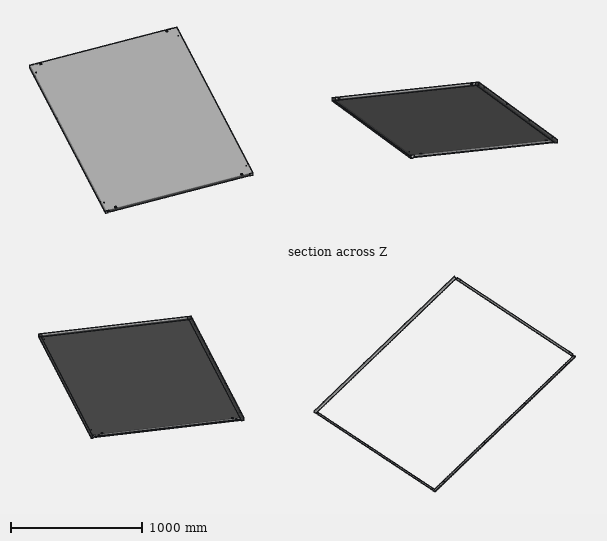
import cadquery as cq

LENGTH_X = 1685.02
WIDTH_Y = 1200.0
HEIGHT = 27.0

SHEET = 2.0
BEND_INSIDE = 1.0
BEND_OUTSIDE = BEND_INSIDE + SHEET

LONG_FLANGE_LENGTH = LENGTH_X - 2 * BEND_OUTSIDE
LONG_LIP = 20.0

SIDE_FLANGE_LENGTH = 1143.0
SIDE_FLANGE_HEIGHT = 22.0
SIDE_LIP = 17.0

LONG_HOLE_DIAMETER = 8.0
LONG_HOLE_SPAN = 1450.0
LONG_HOLE_COUNT = 4

SIDE_HOLE_DIAMETER = 15.0
SIDE_HOLE_Y = 540.0

CORNER_HOLE_DIAMETER = 5.0
CORNER_HOLE_X = 750.0
CORNER_HOLE_Y = 577.5

SQUARE_HOLE_SIZE = 14.0
SQUARE_HOLE_X = 825.5
SQUARE_HOLE_Y = 512.5


def prism(plane, span, height, length, centre_z):
    """Rectangular bar centred on the part, running along the normal of the plane."""
    bar = cq.Workplane(plane).rect(span, height).extrude(length / 2, both=True)
    return bar.translate((0, 0, centre_z))


def folded_sheet(plane, bend_edges, span, height, lip, length):
    """Flat top with two downward flanges, each ending in an inward lip; all bends rounded."""
    outside = prism(plane, span, height, length, -height / 2)
    outside = outside.edges(bend_edges).fillet(BEND_OUTSIDE)
    inside = prism(plane, span - 2 * SHEET, height - 2 * SHEET, length, -height / 2)
    inside = inside.edges(bend_edges).fillet(BEND_INSIDE)
    opening = prism(plane, span - 2 * lip, height, length, -height / 2 - SHEET)
    return outside.cut(inside).cut(opening)


def long_flange_holes():
    """Evenly spaced bores at mid height, running along Y through both long flanges."""
    pitch = LONG_HOLE_SPAN / (LONG_HOLE_COUNT - 1)
    return (
        cq.Workplane("XZ")
        .center(0, -HEIGHT / 2)
        .rarray(pitch, 1, LONG_HOLE_COUNT, 1)
        .circle(LONG_HOLE_DIAMETER / 2)
        .extrude(WIDTH_Y / 2, both=True)
    )


def side_flange_holes():
    """Two bores at mid height of the -X flange."""
    return (
        cq.Workplane("YZ", origin=(-LENGTH_X / 2, 0, -SIDE_FLANGE_HEIGHT / 2))
        .pushPoints([(-SIDE_HOLE_Y, 0), (SIDE_HOLE_Y, 0)])
        .circle(SIDE_HOLE_DIAMETER / 2)
        .extrude(SHEET)
    )


def at_four_corners(x, y):
    """Top-face workplane with one point in each quadrant."""
    points = [(sign_x * x, sign_y * y) for sign_x in (-1, 1) for sign_y in (-1, 1)]
    return cq.Workplane("XY").pushPoints(points)


def corner_holes():
    centres = at_four_corners(CORNER_HOLE_X, CORNER_HOLE_Y)
    return centres.circle(CORNER_HOLE_DIAMETER / 2).extrude(-SHEET)


def square_holes():
    centres = at_four_corners(SQUARE_HOLE_X, SQUARE_HOLE_Y)
    return centres.rect(SQUARE_HOLE_SIZE, SQUARE_HOLE_SIZE).extrude(-SHEET)


long_section = folded_sheet("YZ", "|X", WIDTH_Y, HEIGHT, LONG_LIP, LONG_FLANGE_LENGTH)
side_section = folded_sheet("XZ", "|Y", LENGTH_X, SIDE_FLANGE_HEIGHT, SIDE_LIP, SIDE_FLANGE_LENGTH)

result = (
    long_section.union(side_section)
    .cut(long_flange_holes())
    .cut(side_flange_holes())
    .cut(corner_holes())
    .cut(square_holes())
)